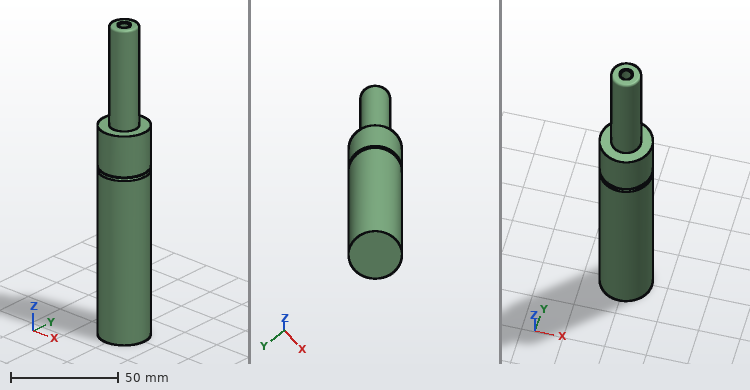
import cadquery as cq
import math

total_height = 160
body_diameter = 25.0
body_height = 108.2
rod_diameter = 14.0
rod_end_fillet = 1.1

groove_center_height = 86.0
groove_width = 2.0
groove_depth = 1.0

hole_diameter = 5.3
hole_depth = 12.8
hole_chamfer = 0.5
drill_tip_angle = 118


def make_body():
    return cq.Workplane("XY").circle(body_diameter / 2).extrude(body_height)


def make_rod():
    rod_length = total_height - body_height
    rod = cq.Workplane("XY").workplane(offset=body_height).circle(rod_diameter / 2).extrude(rod_length)
    return rod.faces(">Z").edges().fillet(rod_end_fillet)


def make_groove():
    outer_radius = body_diameter / 2
    profile = (
        cq.Workplane("XZ")
        .moveTo(outer_radius, groove_center_height - groove_width / 2)
        .lineTo(outer_radius - groove_depth, groove_center_height)
        .lineTo(outer_radius, groove_center_height + groove_width / 2)
        .close()
    )
    return profile.revolve(360, (0, 0, 0), (0, 1, 0))


def make_hole():
    hole_radius = hole_diameter / 2
    tip_depth = hole_radius / math.tan(math.radians(drill_tip_angle / 2))
    hole_bottom = total_height - hole_depth
    profile = (
        cq.Workplane("XZ")
        .moveTo(0, total_height)
        .lineTo(hole_radius + hole_chamfer, total_height)
        .lineTo(hole_radius, total_height - hole_chamfer)
        .lineTo(hole_radius, hole_bottom)
        .lineTo(0, hole_bottom - tip_depth)
        .close()
    )
    return profile.revolve(360, (0, 0, 0), (0, 1, 0))


result = make_body().union(make_rod()).cut(make_groove()).cut(make_hole())